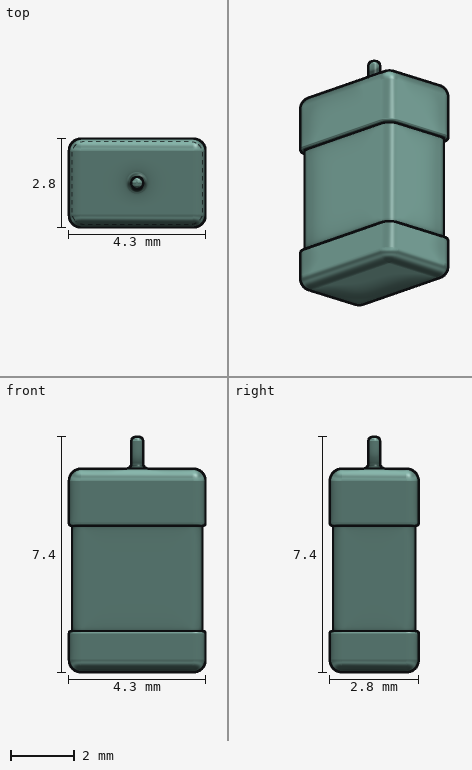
import cadquery as cq
import math

body_length = 4.1
body_width = 2.6
body_edge_radius = 0.38

cap_overhang = 0.1
cap_length = body_length + 2 * cap_overhang
cap_width = body_width + 2 * cap_overhang
cap_edge_radius = 0.4
lip_radius = 0.09

bottom_cap_height = 1.3
top_cap_height = 1.8
case_height = 6.4
top_cap_base = case_height - top_cap_height

pin_radius = 0.19
pin_height = 1.0
pin_tip_radius = 0.15
pin_root_radius = 0.15


def make_cap(base_z, height, outer_face, lip_face):
    """Cap with fully rounded outer end and a small rounding on the lip facing the body."""
    return (
        cq.Workplane("XY", origin=(0, 0, base_z))
        .rect(cap_length, cap_width)
        .extrude(height)
        .edges("|Z")
        .fillet(cap_edge_radius)
        .faces(outer_face)
        .edges()
        .fillet(cap_edge_radius)
        .faces(lip_face)
        .edges()
        .fillet(lip_radius)
    )


def make_body():
    """Body running from the middle of the bottom cap to the middle of the top cap."""
    body_base = bottom_cap_height / 2
    body_top = case_height - top_cap_height / 2
    return (
        cq.Workplane("XY", origin=(0, 0, body_base))
        .rect(body_length, body_width)
        .extrude(body_top - body_base)
        .edges("|Z")
        .fillet(body_edge_radius)
    )


def make_pin():
    """Pin revolved about Z, with a flared root and a rounded tip."""
    pin_top = case_height + pin_height
    pin_foot = case_height - top_cap_height / 2
    root_outer_radius = pin_radius + pin_root_radius
    diagonal = math.cos(math.radians(45))
    root_arc_middle = (
        root_outer_radius - pin_root_radius * diagonal,
        case_height + pin_root_radius * (1 - diagonal),
    )
    tip_arc_middle = (
        pin_radius - pin_tip_radius * (1 - diagonal),
        pin_top - pin_tip_radius * (1 - diagonal),
    )
    return (
        cq.Workplane("XZ")
        .moveTo(0, pin_foot)
        .lineTo(root_outer_radius, pin_foot)
        .lineTo(root_outer_radius, case_height)
        .threePointArc(root_arc_middle, (pin_radius, case_height + pin_root_radius))
        .lineTo(pin_radius, pin_top - pin_tip_radius)
        .threePointArc(tip_arc_middle, (pin_radius - pin_tip_radius, pin_top))
        .lineTo(0, pin_top)
        .close()
        .revolve(360, (0, 0, 0), (0, 1, 0))
    )


bottom_cap = make_cap(0, bottom_cap_height, "<Z", ">Z")
top_cap = make_cap(top_cap_base, top_cap_height, ">Z", "<Z")

result = make_body().union(bottom_cap).union(top_cap).union(make_pin())